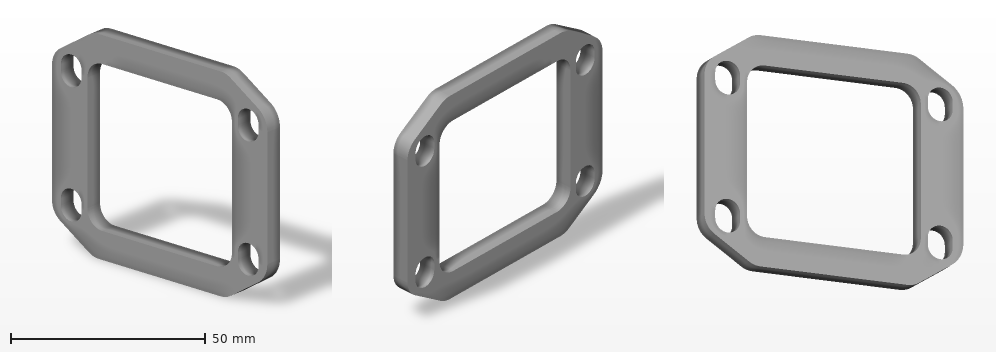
import cadquery as cq

width = 73.0
height = 62.0
thickness = 5.0

cut_width = 14.0
cut_height = 9.0
shoulder_radius = 6.0
left_side_radius = 6.0
right_side_radius = 7.0

window_width = 49.0
window_height = 46.0
window_radius = 5.0

slot_width = 7.0
slot_length = 9.0
slot_spacing_x = 60.0
slot_spacing_z = 37.0


def make_plate():
    """Octagonal plate, centred on the origin, with rounded outer corners."""
    half_width = width / 2
    half_height = height / 2
    shoulder_x = half_width - cut_width
    side_z = half_height - cut_height
    outline = [
        (-half_width, side_z),
        (-shoulder_x, half_height),
        (shoulder_x, half_height),
        (half_width, side_z),
        (half_width, -side_z),
        (shoulder_x, -half_height),
        (-shoulder_x, -half_height),
        (-half_width, -side_z),
    ]
    plate = cq.Workplane("XZ").polyline(outline).close().extrude(thickness / 2, both=True)

    plate = plate.edges("|Y").edges("<X").fillet(left_side_radius)
    plate = plate.edges("|Y").edges(">X").fillet(right_side_radius)
    return plate.edges("|Y and (>Z or <Z)").fillet(shoulder_radius)


def make_window():
    """Cutter for the rounded rectangular opening."""
    window = cq.Workplane("XZ").rect(window_width, window_height).extrude(thickness / 2, both=True)
    return window.edges("|Y").fillet(window_radius)


def make_slots():
    """Cutter for the four upright mounting slots."""
    return (
        cq.Workplane("XZ")
        .rarray(slot_spacing_x, slot_spacing_z, 2, 2)
        .slot2D(slot_length, slot_width, angle=90)
        .extrude(thickness / 2, both=True)
    )


result = make_plate().cut(make_window()).cut(make_slots())